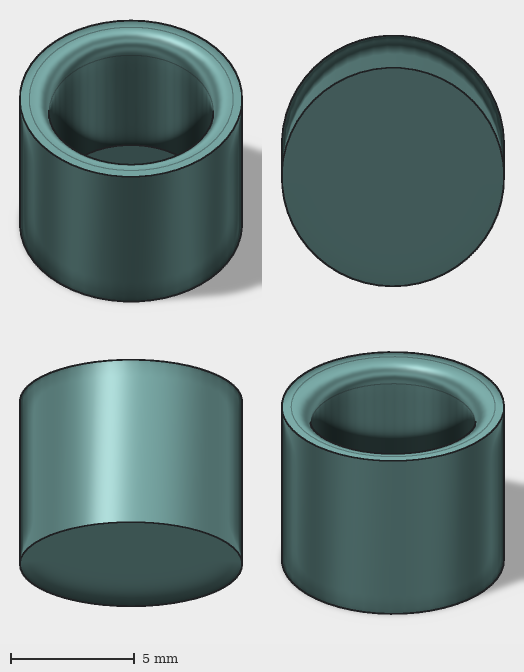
import cadquery as cq

outer_diameter = 9.0
height = 7.1
bore_diameter = 6.65
mouth_radius = 0.8

wall_thickness = (outer_diameter - bore_diameter) / 2
floor_thickness = wall_thickness
bore_depth = height - floor_thickness

body = cq.Workplane("XY").circle(outer_diameter / 2).extrude(height)

cup = body.faces(">Z").workplane().hole(bore_diameter, bore_depth)

bore_mouth = cq.selectors.RadiusNthSelector(0)
result = cup.faces(">Z").edges(bore_mouth).fillet(mouth_radius)